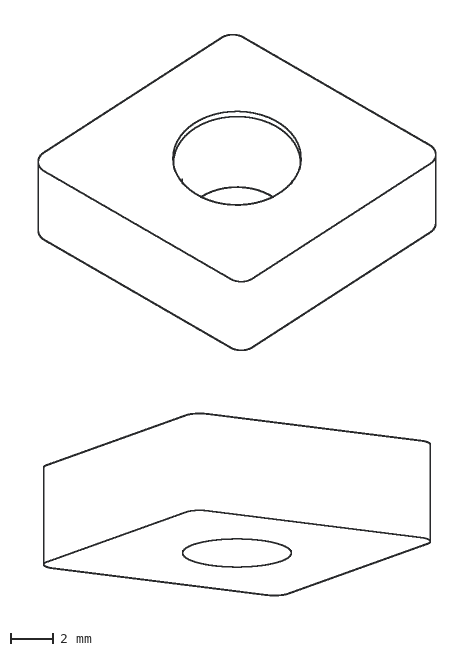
import cadquery as cq
import math

body_length = 14.83
body_width = 12.7
thickness = 4.76
corner_angle = 80.0
corner_radius = 0.8

bore_radius = 2.58
mouth_radius = 3.04
throat_radius = 3.01
mouth_depth = 0.33
throat_depth = 1.75


def rhombic_body():
    angle = math.radians(corner_angle)
    half_width = body_width / 2
    lean = half_width / math.tan(angle)
    tip_loss = corner_radius / math.tan(angle / 2) - corner_radius
    half_side = body_length / 2 + tip_loss - lean
    corners = [
        (-half_side - lean, -half_width),
        (half_side - lean, -half_width),
        (half_side + lean, half_width),
        (-half_side + lean, half_width),
    ]
    body = cq.Workplane("XY").polyline(corners).close().extrude(thickness)
    return body.edges("|Z").fillet(corner_radius)


def hole_cutter():
    mouth_bottom = thickness - mouth_depth
    bore_top = thickness - throat_depth
    arc_height = mouth_bottom - bore_top
    arc_width = throat_radius - bore_radius
    arc_radius = (arc_height**2 + arc_width**2) / (2 * arc_width)
    half_sweep = math.asin(arc_height / arc_radius) / 2
    arc_middle = (
        bore_radius + arc_radius * (1 - math.cos(half_sweep)),
        bore_top + arc_radius * math.sin(half_sweep),
    )
    profile = (
        cq.Workplane("XZ")
        .lineTo(bore_radius, 0)
        .lineTo(bore_radius, bore_top)
        .threePointArc(arc_middle, (throat_radius, mouth_bottom))
        .lineTo(mouth_radius, thickness)
        .lineTo(0, thickness)
        .close()
    )
    return profile.revolve(360, (0, 0, 0), (0, 1, 0))


result = rhombic_body().cut(hole_cutter())